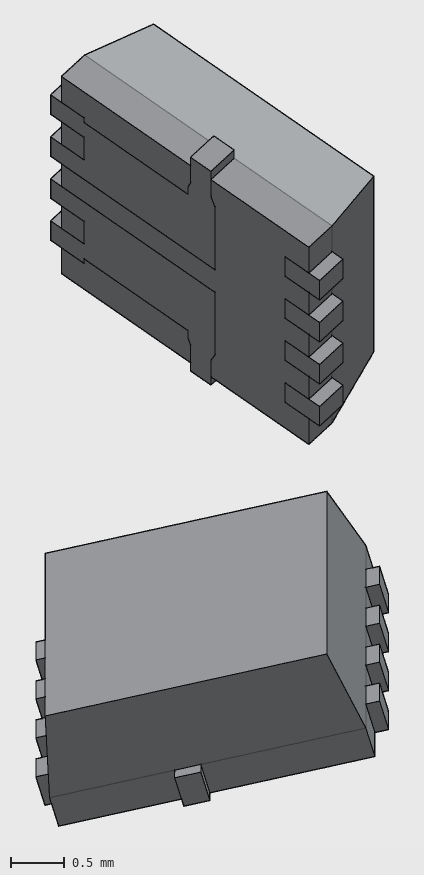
import cadquery as cq

overall_length = 3.31
overall_width = 3.3
overall_height = 1.12

base_side = 3.045
cap_top_side = 2.71
metal_thickness = 0.33

lead_count = 4
lead_pitch = 0.65
lead_width = 0.3
lead_length = 0.425
lead_tip_x = overall_length / 2
lead_heights = [(i - (lead_count - 1) / 2) * lead_pitch for i in range(lead_count)]

inner_lead_z = lead_pitch / 2
outer_lead_z = inner_lead_z + lead_pitch
pad_left_x = -1.245
pad_right_x = 0.367
pad_bottom_z = inner_lead_z - lead_width / 2
pad_top_z = 1.053

tie_bar_width = 0.25
tie_bar_left_x = 0.065
tie_bar_right_x = tie_bar_left_x + tie_bar_width
tie_bar_tip_z = overall_width / 2
shoulder_left_x = 0.033
left_shoulder_bottom_z = 1.16
left_shoulder_top_z = 1.25
right_shoulder_bottom_z = 1.142
right_shoulder_top_z = 1.265


def plate(outline):
    """Extrude an XZ outline from the mounting face through the metal thickness."""
    return outline.extrude(-metal_thickness)


def make_lead(center_z):
    """Rectangular lead on the +X side."""
    center_x = lead_tip_x - lead_length / 2
    return plate(cq.Workplane("XZ").center(center_x, center_z).rect(lead_length, lead_width))


def make_drain_pad():
    """Upper drain pad with its two leads on the -X side and its tie bar on top."""
    lead_half = lead_width / 2
    outline = [
        (-lead_tip_x, pad_bottom_z),
        (pad_right_x, pad_bottom_z),
        (pad_right_x, right_shoulder_bottom_z),
        (tie_bar_right_x, right_shoulder_top_z),
        (tie_bar_right_x, tie_bar_tip_z),
        (tie_bar_left_x, tie_bar_tip_z),
        (tie_bar_left_x, left_shoulder_top_z),
        (shoulder_left_x, left_shoulder_bottom_z),
        (shoulder_left_x, pad_top_z),
        (pad_left_x, pad_top_z),
        (pad_left_x, outer_lead_z + lead_half),
        (-lead_tip_x, outer_lead_z + lead_half),
        (-lead_tip_x, outer_lead_z - lead_half),
        (pad_left_x, outer_lead_z - lead_half),
        (pad_left_x, inner_lead_z + lead_half),
        (-lead_tip_x, inner_lead_z + lead_half),
    ]
    return plate(cq.Workplane("XZ").polyline(outline).close())


def make_housing(terminals):
    """Molded body with a matching recess for every terminal."""
    base = plate(cq.Workplane("XZ").rect(base_side, base_side))
    cap = (
        cq.Workplane("XZ", origin=(0, metal_thickness, 0))
        .rect(base_side, base_side)
        .workplane(offset=metal_thickness - overall_height)
        .rect(cap_top_side, cap_top_side)
        .loft(ruled=True)
    )
    body = base.union(cap)
    for terminal in terminals:
        body = body.cut(terminal)
    return body


leads = [make_lead(center_z) for center_z in lead_heights]
upper_pad = make_drain_pad()
drain_pads = [upper_pad, upper_pad.mirror("XY")]
terminals = leads + drain_pads
housing = make_housing(terminals)

result = cq.Compound.makeCompound([housing.val()] + [terminal.val() for terminal in terminals])